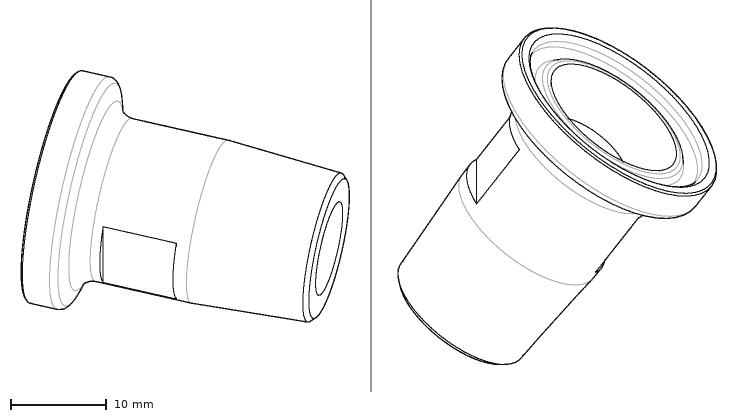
import cadquery as cq
import math

length = 30.0
flange_diameter = 25.0
flange_radius = flange_diameter / 2
body_radius = 8.75
bore_radius = 5.0

front_chamfer = 0.2
rim_end = 3.18
rim_round_radius = 0.8
neck_start = 4.6
neck_end = 6.5
back_angle = math.radians(20)
rim_round_end = rim_end + rim_round_radius * math.cos(back_angle)

taper_start = 17.0
tail_radius = 8.0
tail_chamfer = 0.5

mouth_radius = 7.92
lip_setback = 1.0
bore_start = 6.0

groove_edge_radius = 11.4
outer_wall_start = (0.63, 10.92)
outer_wall_end = (1.35, 10.83)
inner_wall_start = (1.83, 9.4)
inner_wall_end = (1.2, 8.88)
lip_radius = 8.4

flat_start = 7.55
flat_length = 7.98
flat_offset = 7.5


def make_body():
    """Flange, neck, cylinder and tapered tail as one turned solid."""
    back_slope_radius = flange_radius - rim_round_radius * (1 - math.sin(back_angle))
    neck_radius = back_slope_radius - (neck_start - rim_round_end) / math.tan(back_angle)
    profile = (
        cq.Workplane("XY")
        .lineTo(0, flange_radius - front_chamfer)
        .lineTo(front_chamfer, flange_radius)
        .lineTo(rim_end, flange_radius)
        .tangentArcPoint((rim_round_end, back_slope_radius), relative=False)
        .lineTo(neck_start, neck_radius)
        .tangentArcPoint((neck_end, body_radius), relative=False)
        .lineTo(taper_start, body_radius)
        .lineTo(length - tail_chamfer, tail_radius)
        .lineTo(length, tail_radius - tail_chamfer)
        .lineTo(length, 0)
        .close()
    )
    return profile.revolve(360, (0, 0, 0), (1, 0, 0))


def make_bore():
    """Through bore with its conical mouth."""
    profile = (
        cq.Workplane("XY")
        .lineTo(0, mouth_radius)
        .lineTo(lip_setback, mouth_radius)
        .lineTo(bore_start, bore_radius)
        .lineTo(length, bore_radius)
        .lineTo(length, 0)
        .close()
    )
    return profile.revolve(360, (0, 0, 0), (1, 0, 0))


def make_groove():
    """Ring groove with a rounded outer edge, round bottom and rounded inner lip."""
    profile = (
        cq.Workplane("XY")
        .moveTo(*outer_wall_end)
        .lineTo(*outer_wall_start)
        .tangentArcPoint((0, groove_edge_radius), relative=False)
        .lineTo(0, mouth_radius)
        .lineTo(lip_setback, mouth_radius)
        .lineTo(lip_setback, lip_radius)
        .tangentArcPoint(inner_wall_end, relative=False)
        .lineTo(*inner_wall_start)
        .tangentArcPoint(outer_wall_end, relative=False)
        .close()
    )
    return profile.revolve(360, (0, 0, 0), (1, 0, 0))


def make_flat(side):
    """Block that cuts one wrench flat; side is +1 or -1 along Y."""
    cut_depth = flange_radius - flat_offset
    return cq.Workplane("XY").box(flat_length, cut_depth, 2 * flange_radius).translate(
        (flat_start + flat_length / 2, side * (flat_offset + cut_depth / 2), 0)
    )


result = make_body().cut(make_bore()).cut(make_groove())
for side in (-1, 1):
    result = result.cut(make_flat(side))